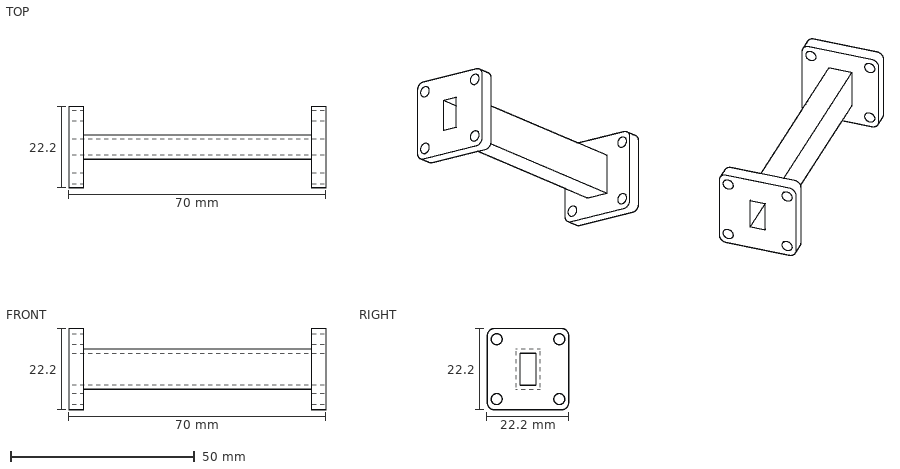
import cadquery as cq

length = 70.0
flange_side = 22.2
flange_thickness = 4.0
flange_corner_radius = 2.0

bore_width_y = 4.32
bore_height_z = 8.64
wall_thickness = 1.165
tube_width_y = bore_width_y + 2 * wall_thickness
tube_height_z = bore_height_z + 2 * wall_thickness

bolt_hole_diameter = 2.94
bolt_spacing_y = 17.04
bolt_spacing_z = 16.29


def make_flange(start_x):
    """Square flange with rounded corners and four bolt holes, from start_x towards +X."""
    plate = (
        cq.Workplane("YZ", origin=(start_x, 0, 0))
        .rect(flange_side, flange_side)
        .extrude(flange_thickness)
        .edges("|X")
        .fillet(flange_corner_radius)
    )
    bolt_holes = (
        cq.Workplane("YZ", origin=(start_x, 0, 0))
        .rect(bolt_spacing_y, bolt_spacing_z, forConstruction=True)
        .vertices()
        .circle(bolt_hole_diameter / 2)
        .extrude(flange_thickness)
    )
    return plate.cut(bolt_holes)


def make_full_length_bar(width_y, height_z):
    """Rectangular bar spanning the whole length of the part."""
    return cq.Workplane("XY").box(length, width_y, height_z)


tube = make_full_length_bar(tube_width_y, tube_height_z)
bore = make_full_length_bar(bore_width_y, bore_height_z)

body = tube
for flange_start_x in (-length / 2, length / 2 - flange_thickness):
    body = body.union(make_flange(flange_start_x))

result = body.cut(bore)